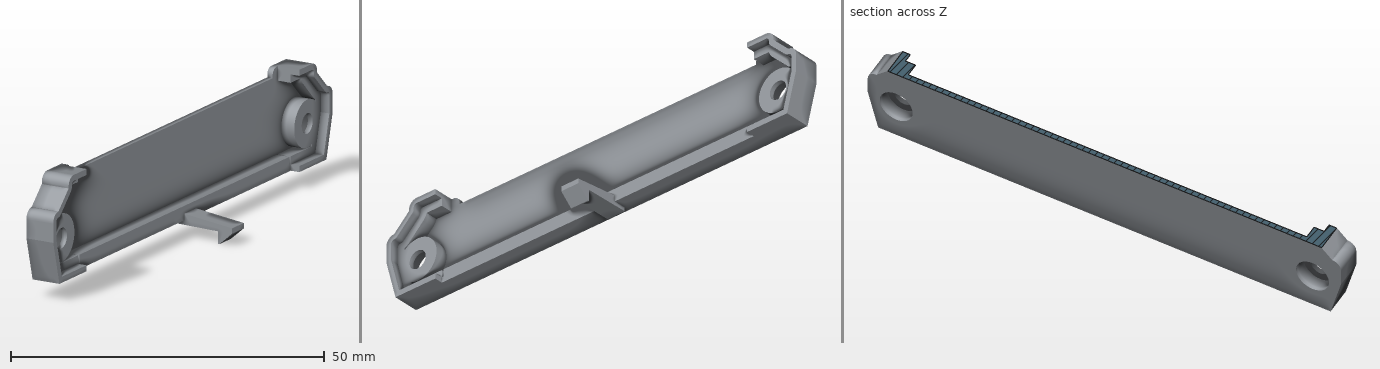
import cadquery as cq

HALF_LENGTH = 43.2
HEIGHT = 17.0
PLATE_THICKNESS = 1.0
END_DEPTH = 5.0
LEDGE_DEPTH = 3.4

PLATE_TOP = 15.4
CORNER_RADIUS = 1.6
STEP_Y = 31.3
STEP_RADIUS = 1.2
SHOULDER_Y = 38.45
SHOULDER_BOTTOM = 15.15
EAR_TOP = 12.1
EAR_BOTTOM = 7.3
BOTTOM_HALF_LENGTH = 41.3

END_INNER_Y = 32.9
RIM_WALL = 1.0
LEDGE_WALL = 2.4

RIB_HALF_LENGTH = 32.5
RIB_HEIGHT = LEDGE_WALL

HOLE_Y = 38.0
HOLE_Z = 6.55
HOLE_DIAMETER = 3.4
COUNTERBORE_DIAMETER = 6.0
COUNTERBORE_DEPTH = 2.5
BOSS_DIAMETER = 8.0

HOOK_Y = 0.0
HOOK_WIDTH = 3.6
HOOK_REACH = 12.3
HOOK_ROOT_TOP = 1.1
HOOK_ROOT_BOTTOM = -0.7
HOOK_END_TOP = 0.0
BARB_X = 9.7
BARB_TOP = -0.9
BARB_TIP = -3.0
BARB_TIP_WIDTH = 0.2

ARC_INSET = 1 - 0.5 ** 0.5


def corner(sketch, y, z, radius):
    """Line to, then round over, the corner where a level edge meets a drop at (y, z)."""
    inset = radius * ARC_INSET
    return (
        sketch.lineTo(y - radius, z)
        .threePointArc((y - inset, z - inset), (y, z - radius))
    )


def outer_side(sketch):
    """Continue an outline from the top of the raised end round to the bottom edge."""
    sketch = corner(sketch, SHOULDER_Y, HEIGHT, CORNER_RADIUS)
    sketch = sketch.lineTo(SHOULDER_Y, SHOULDER_BOTTOM)
    sketch = corner(sketch, HALF_LENGTH, EAR_TOP, CORNER_RADIUS)
    return sketch.lineTo(HALF_LENGTH, EAR_BOTTOM).lineTo(BOTTOM_HALF_LENGTH, 0).close()


def half_plate():
    inset = STEP_RADIUS * ARC_INSET
    sketch = (
        cq.Workplane("YZ")
        .lineTo(0, PLATE_TOP)
        .lineTo(STEP_Y, PLATE_TOP)
        .lineTo(STEP_Y, HEIGHT - STEP_RADIUS)
        .threePointArc(
            (STEP_Y + inset, HEIGHT - inset),
            (STEP_Y + STEP_RADIUS, HEIGHT),
        )
    )
    return outer_side(sketch).extrude(PLATE_THICKNESS)


def end_outline(inner_y):
    """Outline of a raised end, cut off straight at Y = inner_y."""
    return outer_side(cq.Workplane("YZ").moveTo(inner_y, 0).lineTo(inner_y, HEIGHT))


def end_wall(depth, wall):
    """Wall following the end outline, open toward the middle of the part."""
    block = end_outline(END_INNER_Y).extrude(depth)
    cavity = end_outline(0).offset2D(-wall).extrude(depth)
    return block.cut(cavity)


def screw_boss():
    return (
        cq.Workplane("YZ")
        .center(HOLE_Y, HOLE_Z)
        .circle(BOSS_DIAMETER / 2)
        .extrude(LEDGE_DEPTH)
    )


def screw_hole():
    center = cq.Workplane("YZ").center(HOLE_Y, HOLE_Z)
    through = center.circle(HOLE_DIAMETER / 2).extrude(END_DEPTH)
    counterbore = center.circle(COUNTERBORE_DIAMETER / 2).extrude(COUNTERBORE_DEPTH)
    return through.union(counterbore)


def cover_half():
    half = half_plate()
    half = half.union(end_wall(END_DEPTH, RIM_WALL))
    half = half.union(end_wall(LEDGE_DEPTH, LEDGE_WALL))
    return half.union(screw_boss()).cut(screw_hole())


def bottom_rib():
    """Rib along the bottom edge, carried on into the ends by a lower strip."""
    rib = cq.Workplane("XY").box(
        LEDGE_DEPTH, 2 * RIB_HALF_LENGTH, RIB_HEIGHT, centered=(False, True, False)
    )
    strip = cq.Workplane("XY").box(
        LEDGE_DEPTH, 2 * END_INNER_Y, RIM_WALL, centered=(False, True, False)
    )
    return rib.union(strip)


def snap_hook():
    return (
        cq.Workplane("XZ", origin=(0, HOOK_Y, 0))
        .polyline([
            (PLATE_THICKNESS, HOOK_ROOT_BOTTOM),
            (BARB_X, BARB_TOP),
            (BARB_X, BARB_TIP),
            (BARB_X + BARB_TIP_WIDTH, BARB_TIP),
            (HOOK_REACH, BARB_TOP),
            (HOOK_REACH, HOOK_END_TOP),
            (LEDGE_DEPTH, HOOK_ROOT_TOP),
            (PLATE_THICKNESS, HOOK_ROOT_TOP),
        ])
        .close()
        .extrude(-HOOK_WIDTH)
    )


half = cover_half()
result = half.union(half.mirror("XZ")).union(bottom_rib()).union(snap_hook())